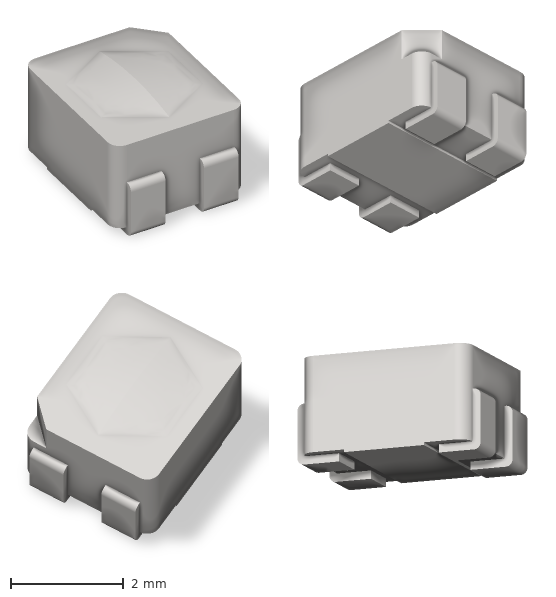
import cadquery as cq
import math

overall_length = 3.5
body_width = 2.7
overall_height = 2.03

lead_thickness = 0.15
lead_width = 0.71
lead_spacing = 1.5
lead_height = 1.105
foot_length = 0.798
lead_bend_radius = 0.125

body_length = overall_length - 2 * lead_thickness
body_height = 1.75
body_top = lead_thickness + body_height
corner_radius = 0.25
pad_length = 1.525
pad_depth = 0.05
notch_leg = 0.505
notch_depth = 0.61

hexagon_across_flats = 2.1
hexagon_radius = hexagon_across_flats / math.sqrt(3)
lens_rise = overall_height - body_top
lens_side_bulge = 0.007


def make_body_block():
    """Rounded block with a shallow pad across the middle of its underside."""
    block = (
        cq.Workplane("XY", origin=(0, 0, lead_thickness))
        .rect(body_length, body_width)
        .extrude(body_height)
        .edges("|Z")
        .fillet(corner_radius)
    )
    pad = (
        cq.Workplane("XY", origin=(0, 0, lead_thickness))
        .rect(pad_length, body_width)
        .extrude(-pad_depth)
    )
    return block.union(pad)


def make_corner_notch():
    """Triangular cutter that marks the (-X, +Y) top corner."""
    corner_x = -body_length / 2
    corner_y = body_width / 2
    return (
        cq.Workplane("XY", origin=(0, 0, body_top - notch_depth))
        .moveTo(corner_x, corner_y)
        .lineTo(corner_x + notch_leg, corner_y)
        .lineTo(corner_x, corner_y - notch_leg)
        .close()
        .extrude(notch_depth)
    )


def make_lead(side, y_center):
    """One lead on the -X (side = -1) or +X (side = 1) end, with rounded outer bends."""
    outer_x = side * overall_length / 2
    wall_x = side * body_length / 2
    foot_x = outer_x - side * foot_length
    return (
        cq.Workplane("XZ", origin=(0, y_center + lead_width / 2, 0))
        .moveTo(foot_x, 0)
        .lineTo(outer_x, 0)
        .lineTo(outer_x, lead_height)
        .lineTo(wall_x, lead_height)
        .lineTo(wall_x, lead_thickness)
        .lineTo(foot_x, lead_thickness)
        .close()
        .extrude(lead_width)
        .edges("|Y")
        .edges("<X" if side < 0 else ">X")
        .fillet(lead_bend_radius)
    )


def make_housing():
    """Notched block joined with its four leads."""
    housing = make_body_block().cut(make_corner_notch())
    for side in (-1, 1):
        for y_center in (-lead_spacing / 2, lead_spacing / 2):
            housing = housing.union(make_lead(side, y_center))
    return housing


def lens_section(side, t):
    """Arc across the lens, from the ridge (t = 0) towards the flat rim (t = 1); side is the sign of Y."""
    y = side * t * hexagon_across_flats / 2
    half_chord = hexagon_radius * (1 - t / 2)
    rise = lens_rise * (1 - t) + 4 * lens_side_bulge * t * (1 - t)
    return cq.Edge.makeThreePointArc(
        cq.Vector(-half_chord, y, body_top),
        cq.Vector(0, y, body_top + rise),
        cq.Vector(half_chord, y, body_top),
    )


def make_lens():
    """Hexagonal dome: two lofted slopes that meet along the arched ridge."""
    corners = [
        cq.Vector(
            hexagon_radius * math.cos(math.radians(60 * i)),
            hexagon_radius * math.sin(math.radians(60 * i)),
            body_top,
        )
        for i in range(6)
    ]
    rims = {1: cq.Edge.makeLine(corners[2], corners[1]), -1: cq.Edge.makeLine(corners[4], corners[5])}
    slopes = [
        cq.occ_impl.shapes.loft(lens_section(side, 0), lens_section(side, 0.5), rim)
        for side, rim in rims.items()
    ]
    base = cq.Face.makeFromWires(cq.Wire.makePolygon(corners, close=True))
    return cq.Solid.makeSolid(cq.Shell.makeShell([base, *slopes]))


housing = make_housing()
lens = make_lens()

result = cq.Compound.makeCompound([housing.val(), lens])